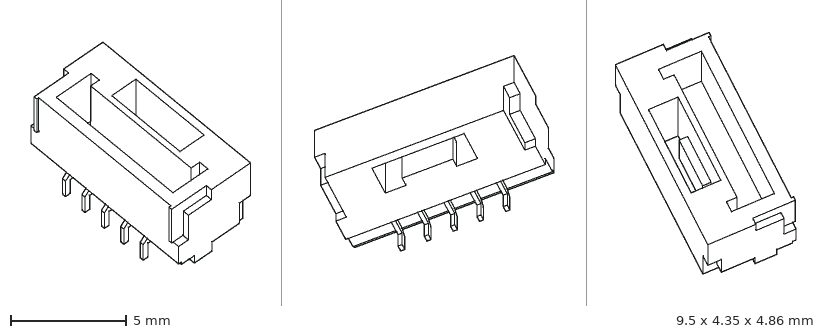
import cadquery as cq

length = 9.5
depth = 4.24
height = 4.05
lip_height = 0.65
lip_setback = 0.17
relief_height = 0.49
relief_depth = 0.93

pocket_length = 7.505
pocket_front = 0.58
pocket_back = 2.13
pocket_floor = 0.93
key_width = 0.52
key_back = 2.63

window_length = 4.39
window_front = 2.42
window_back = 3.84
tab_length = 2.41
tab_depth = 0.41
tab_height = 1.9

recess_width = 0.5
plate_thickness = 0.18
plate_overhang = 0.11
plate_gap = 0.05
upper_back = 1.93
upper_ledge = 3.4
upper_inner = 0.58
upper_bottom = 1.8
lower_front = 1.98
lower_ceiling = 0.59
lower_inner = 3.59
lower_top = 1.91

lead_count = 5
lead_pitch = 1.25
lead_width = 0.2
lead_front = -0.11
lead_root_bottom = 0.095
lead_tip = -0.81


def extrude_profile(points, x_start, width):
    """Extrude a Y-Z outline along +X from x_start."""
    return cq.Workplane("YZ", origin=(x_start, 0, 0)).polyline(points).close().extrude(width)


def block(size_x, y_range, z_range):
    """Box centred in X between the given Y and Z limits."""
    y_low, y_high = y_range
    z_low, z_high = z_range
    box = cq.Workplane("XY").box(size_x, y_high - y_low, z_high - z_low, centered=(True, False, False))
    return box.translate((0, y_low, z_low))


def upper_outline(front, bottom):
    """L outline along the top and front edges of an end face."""
    return [
        (upper_back, height),
        (front, height),
        (front, bottom),
        (upper_inner, bottom),
        (upper_inner, upper_ledge),
        (upper_back, upper_ledge),
    ]


def both_ends(left_shape):
    """Join a left-end shape to its mirror image at the right end."""
    return left_shape.union(left_shape.mirror("YZ"))


def make_housing():
    outline = [
        (0, lip_height),
        (lip_setback, lip_height),
        (lip_setback, relief_height),
        (relief_depth, relief_height),
        (relief_depth, 0),
        (depth, 0),
        (depth, height),
        (0, height),
    ]
    return extrude_profile(outline, -length / 2, length)


def make_pocket():
    z_range = (pocket_floor, height)
    full_pocket = block(pocket_length, (pocket_front, key_back), z_range)
    wall_between_keys = block(pocket_length - 2 * key_width, (pocket_back, key_back), z_range)
    return full_pocket.cut(wall_between_keys)


def make_end_recesses():
    upper = extrude_profile(upper_outline(0, upper_bottom), -length / 2, recess_width)
    lower_outline = [
        (lower_front, 0),
        (depth, 0),
        (depth, lower_top),
        (lower_inner, lower_top),
        (lower_inner, lower_ceiling),
        (lower_front, lower_ceiling),
    ]
    lower = extrude_profile(lower_outline, -length / 2, recess_width)
    return both_ends(upper.union(lower))


def make_end_plates():
    outline = upper_outline(-plate_overhang, upper_bottom + plate_gap)
    plate_start = -length / 2 + recess_width - plate_thickness
    return both_ends(extrude_profile(outline, plate_start, plate_thickness))


def make_lead(x_center):
    bend = lip_setback - lead_front
    outline = [
        (relief_depth, relief_height),
        (lip_setback, relief_height),
        (lead_front, relief_height - bend),
        (lead_front, lead_tip),
        (lip_setback, lead_tip),
        (lip_setback, lead_root_bottom),
        (relief_depth, lead_root_bottom),
    ]
    return extrude_profile(outline, x_center - lead_width / 2, lead_width)


window = block(window_length, (window_front, window_back), (0, height))
tab = block(tab_length, (window_front, window_front + tab_depth), (0, tab_height))

result = make_housing().cut(make_pocket()).cut(window).cut(make_end_recesses())
result = result.union(tab).union(make_end_plates())
for index in range(lead_count):
    result = result.union(make_lead((index - (lead_count - 1) / 2) * lead_pitch))